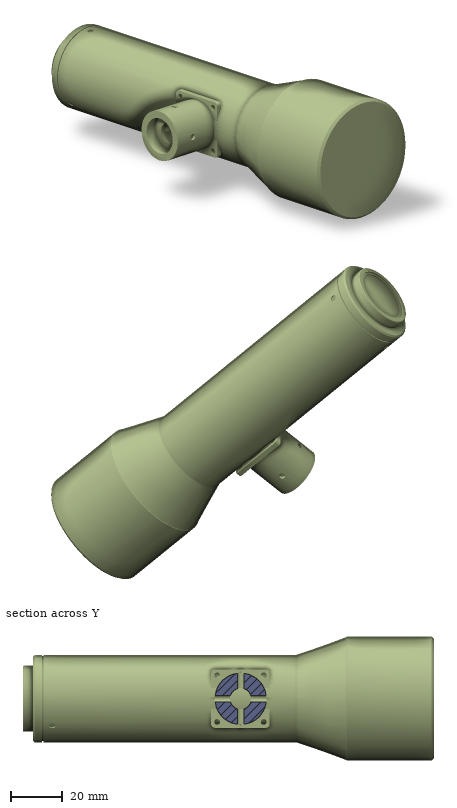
import cadquery as cq
import math

length = 158.9
head_dia = 48.0
head_start = 124.9
head_end_chamfer = 1.0
head_front_chamfer = 0.24
cone_start = 105.7
tube_dia = 33.8
cap_length = 3.5
cap_chamfer = 0.6
nose_dia = 25.6
nose_length = 4.0
nose_chamfer = 0.24

joint_width = 0.5
joint_depth = 0.5

lens_seat_dia = 22.0
lens_seat_depth = 0.5
lens_dia = 20.0
lens_edge_depth = 0.8
lens_rise = 0.5

screw_count = 3
screw_x = 11.3
screw_hole_dia = 2.4
screw_hole_depth = 0.5
screw_first_angle = 8.4

port_x = 84.0
port_end_y = -36.5
port_dia = 20.0
port_bore_dia = 14.3
port_bore_depth = 4.8
port_through_dia = 8.1
cross_hole_dia = 2.4
cross_hole_inset = 8.1

flange_side = 22.5
flange_thickness = 2.0
flange_face_y = -16.5
flange_corner_radius = 1.3
flange_hole_spacing = 18.0
flange_hole_dia = 2.2
saddle_height = 0.08
saddle_dia = tube_dia + 2 * saddle_height
spigot_dia = 19.7

tube_radius = tube_dia / 2
flange_back_y = flange_face_y + flange_thickness


def make_body():
    """Nose, cap, tube, cone and head turned from one profile."""
    head_radius = head_dia / 2
    nose_radius = nose_dia / 2
    tube_start = nose_length + cap_length
    profile = [
        (0, 0),
        (0, nose_radius - nose_chamfer),
        (nose_chamfer, nose_radius),
        (nose_length, nose_radius),
        (nose_length, tube_radius - cap_chamfer),
        (nose_length + cap_chamfer, tube_radius),
        (tube_start, tube_radius),
        (tube_start, tube_radius - joint_depth),
        (tube_start + joint_width, tube_radius - joint_depth),
        (tube_start + joint_width, tube_radius),
        (cone_start, tube_radius),
        (head_start, head_radius - head_front_chamfer),
        (head_start + head_front_chamfer, head_radius),
        (length - head_end_chamfer, head_radius),
        (length, head_radius - head_end_chamfer),
        (length, 0),
    ]
    return cq.Workplane("XY").polyline(profile).close().revolve(360, (0, 0, 0), (1, 0, 0))


def make_lens_recess():
    """Stepped round recess in the nose whose floor is the shallow domed lens face."""
    seat_radius = lens_seat_dia / 2
    lens_radius = lens_dia / 2
    dome_radius = (lens_radius**2 + lens_rise**2) / (2 * lens_rise)
    dome_top_x = lens_edge_depth - lens_rise
    mid_angle = math.asin(lens_radius / dome_radius) / 2
    dome_mid = (dome_top_x + dome_radius * (1 - math.cos(mid_angle)), dome_radius * math.sin(mid_angle))
    profile = (
        cq.Workplane("XY")
        .lineTo(0, seat_radius)
        .lineTo(lens_seat_depth, seat_radius)
        .lineTo(lens_seat_depth, lens_radius)
        .lineTo(lens_edge_depth, lens_radius)
        .threePointArc(dome_mid, (dome_top_x, 0))
        .close()
    )
    return profile.revolve(360, (0, 0, 0), (1, 0, 0))


def cut_screw_holes(body):
    """Cut shallow radial holes evenly spaced around the tube."""
    hole = cq.Workplane("XY", origin=(screw_x, 0, tube_radius - screw_hole_depth))
    hole = hole.circle(screw_hole_dia / 2).extrude(2 * screw_hole_depth)
    for i in range(screw_count):
        angle = screw_first_angle + i * 360 / screw_count
        body = body.cut(hole.rotate((0, 0, 0), (1, 0, 0), angle))
    return body


def port_plane(y):
    """Workplane facing -Y, centred on the port axis."""
    return cq.Workplane("XZ", origin=(port_x, y, 0))


def make_flange():
    """Square plate with rounded corners and four corner holes."""
    plate = port_plane(flange_back_y).rect(flange_side, flange_side).extrude(flange_thickness)
    plate = plate.edges("|Y").fillet(flange_corner_radius)
    holes = (
        port_plane(flange_back_y)
        .rect(flange_hole_spacing, flange_hole_spacing, forConstruction=True)
        .vertices()
        .circle(flange_hole_dia / 2)
        .extrude(flange_thickness)
    )
    return plate.cut(holes)


def make_saddle():
    """Curved strip standing just proud of the flange face where the tube bulges through it."""
    cylinder = cq.Workplane("YZ", origin=(port_x, 0, 0))
    cylinder = cylinder.circle(saddle_dia / 2).extrude(flange_side / 2, both=True)
    front_of_flange = port_plane(flange_face_y).rect(flange_side, flange_side).extrude(flange_thickness)
    return cylinder.intersect(front_of_flange)


def make_port():
    """Flange, spigot and barrel, with a stepped bore and two crossing holes."""
    barrel = port_plane(flange_face_y).circle(port_dia / 2).extrude(flange_face_y - port_end_y)
    spigot = port_plane(0).circle(spigot_dia / 2).extrude(-flange_back_y)
    port = make_flange().union(barrel).union(make_saddle()).union(spigot)

    wide_bore = port_plane(port_end_y).circle(port_bore_dia / 2).extrude(-port_bore_depth)
    narrow_bore = port_plane(0).circle(port_through_dia / 2).extrude(-port_end_y)
    port = port.cut(wide_bore).cut(narrow_bore)

    cross_hole = cq.Workplane("XY", origin=(port_x, port_end_y + cross_hole_inset, 0))
    cross_hole = cross_hole.circle(cross_hole_dia / 2).extrude(port_dia, both=True)
    side_hole = cross_hole.rotate((port_x, 0, 0), (port_x, 1, 0), 90)
    return port.cut(cross_hole).cut(side_hole)


body = cut_screw_holes(make_body().cut(make_lens_recess()))
result = body.union(make_port()).solids()